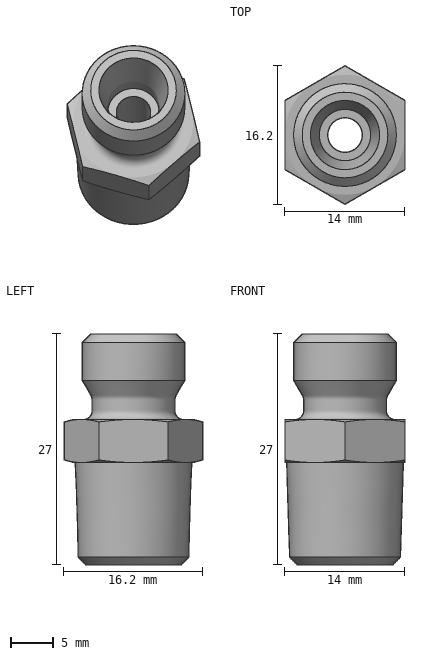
import cadquery as cq
import math

total_height = 27.0
hex_bottom = 12.0
hex_top = 17.0

taper_tip_diameter = 12.95
taper_ratio = 1 / 16
tip_chamfer = 0.95

hex_across_flats = 14.0
hex_bevel_angle = 15.0

head_diameter = 12.0
head_bottom = 21.55
head_chamfer = 1.0
neck_diameter = 9.7
neck_fillet = 1.0
head_cone_half_angle = 30.0

through_diameter = 4.0
socket_diameter = 6.0
socket_depth = 7.0
mouth_diameter = 8.07
mouth_half_angle = 12.0


def tangent(degrees):
    return math.tan(math.radians(degrees))


def tapered_body():
    """Conical body that widens towards the hexagon, with a bevelled tip."""
    tip_radius = taper_tip_diameter / 2
    root_radius = tip_radius + (hex_bottom - tip_chamfer) * taper_ratio / 2
    profile = (
        cq.Workplane("XZ")
        .lineTo(tip_radius - tip_chamfer, 0)
        .lineTo(tip_radius, tip_chamfer)
        .lineTo(root_radius, hex_bottom)
        .lineTo(0, hex_bottom)
        .close()
    )
    return profile.revolve(360, (0, 0), (0, 1))


def hexagon():
    """Hexagon with corners on the Y axis, bevelled at both ends."""
    across_corners = hex_across_flats / math.cos(math.pi / 6)
    prism = (
        cq.Workplane("XY")
        .workplane(offset=hex_bottom)
        .polygon(6, across_corners)
        .extrude(hex_top - hex_bottom)
        .rotate((0, 0, 0), (0, 0, 1), 30)
    )
    end_radius = hex_across_flats / 2
    outer_radius = across_corners
    bevel_drop = (outer_radius - end_radius) * tangent(hex_bevel_angle)
    envelope = (
        cq.Workplane("XZ")
        .moveTo(0, hex_bottom)
        .lineTo(end_radius, hex_bottom)
        .lineTo(outer_radius, hex_bottom + bevel_drop)
        .lineTo(outer_radius, hex_top - bevel_drop)
        .lineTo(end_radius, hex_top)
        .lineTo(0, hex_top)
        .close()
        .revolve(360, (0, 0), (0, 1))
    )
    return prism.intersect(envelope)


def neck_and_head():
    """Filleted neck that opens through a cone into the chamfered head."""
    neck_radius = neck_diameter / 2
    head_radius = head_diameter / 2
    cone_angle = math.radians(head_cone_half_angle)

    arc_end_radius = neck_radius + neck_fillet * (1 - math.cos(cone_angle))
    arc_height = neck_fillet * math.sin(cone_angle)
    cone_height = (head_radius - arc_end_radius) / math.tan(cone_angle)
    arc_end = head_bottom - cone_height
    arc_start = arc_end - arc_height

    profile = (
        cq.Workplane("XZ")
        .moveTo(0, hex_top)
        .lineTo(neck_radius + neck_fillet, hex_top)
        .radiusArc((neck_radius, hex_top + neck_fillet), neck_fillet)
        .lineTo(neck_radius, arc_start)
        .radiusArc((arc_end_radius, arc_end), neck_fillet)
        .lineTo(head_radius, head_bottom)
        .lineTo(head_radius, total_height - head_chamfer)
        .lineTo(head_radius - head_chamfer, total_height)
        .lineTo(0, total_height)
        .close()
    )
    return profile.revolve(360, (0, 0), (0, 1))


def bore():
    """Through hole, wider tube socket and conical mouth."""
    through_radius = through_diameter / 2
    socket_radius = socket_diameter / 2
    mouth_radius = mouth_diameter / 2
    mouth_depth = (mouth_radius - socket_radius) / tangent(mouth_half_angle)
    socket_floor = total_height - socket_depth
    profile = (
        cq.Workplane("XZ")
        .lineTo(through_radius, 0)
        .lineTo(through_radius, socket_floor)
        .lineTo(socket_radius, socket_floor)
        .lineTo(socket_radius, total_height - mouth_depth)
        .lineTo(mouth_radius, total_height)
        .lineTo(0, total_height)
        .close()
    )
    return profile.revolve(360, (0, 0), (0, 1))


result = tapered_body().union(hexagon()).union(neck_and_head()).cut(bore())